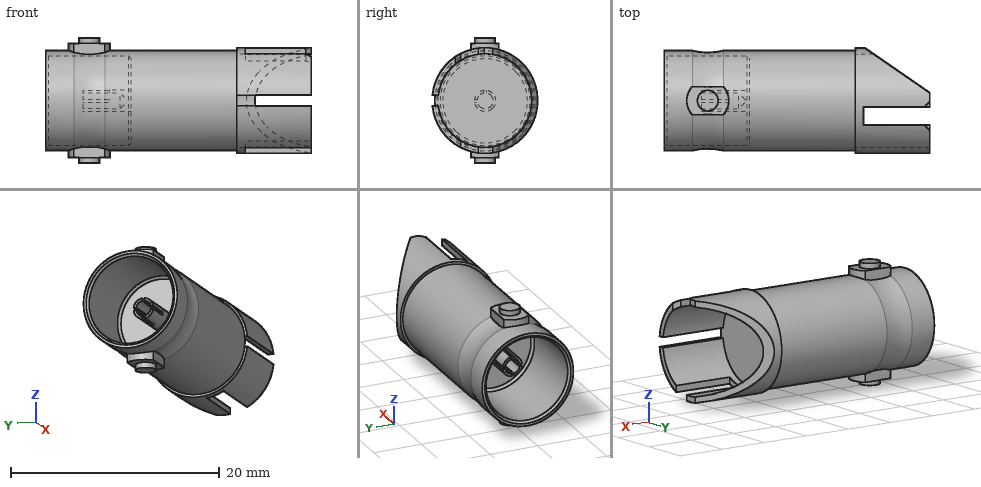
import cadquery as cq

length = 25.5
body_radius = 4.82
collar_radius = 5.07
collar_start = 18.35

lug_x = 4.18
waist_width = 3.0
waist_depth = 0.18

lug_radius = 2.01
lug_width = 2.68
lug_top = 5.48
lug_root = 4.45
pin_radius = 1.0
pin_top = 6.005

bore_radius = 4.3
mouth_radius = 4.55
mouth_chamfer = 0.23
floor_x = 8.15
floor_chamfer = 0.25
rear_bore_radius = 4.5
rear_floor_x = collar_start

contact_start = 3.55
contact_radius = 1.02
contact_hole_radius = 0.76
contact_hole_depth = 3.57
contact_cone_depth = 0.76
contact_slit_width = 0.28
contact_slit_depth = 2.55

wide_slot_start = 19.15
wide_slot_low_y = -2.32
wide_slot_high_y = -0.6
tip_chamfer = 0.54
side_slot_width = 1.02
bevel_start = 19.25
bevel_tip_y = 0.76

clearance = 2.55


def x_cylinder(radius, start, end):
    """Solid cylinder on the X axis."""
    return cq.Workplane("YZ", origin=(start, 0, 0)).circle(radius).extrude(end - start)


def box_between(low, high):
    """Box spanned by two opposite corners."""
    size = [b - a for a, b in zip(low, high)]
    return cq.Workplane("XY").box(*size, centered=False).translate(low)


def make_sleeve():
    """Outer body of revolution, with the concave waist."""
    waist_half = waist_width / 2
    return (
        cq.Workplane("XY")
        .lineTo(0, body_radius)
        .lineTo(lug_x - waist_half, body_radius)
        .threePointArc((lug_x, body_radius - waist_depth), (lug_x + waist_half, body_radius))
        .lineTo(collar_start, body_radius)
        .lineTo(collar_start, collar_radius)
        .lineTo(length, collar_radius)
        .lineTo(length, 0)
        .close()
        .revolve(360, (0, 0, 0), (1, 0, 0))
    )


def make_lug():
    """Upper lug: round base with two flat sides, and its pin."""
    plane = cq.Workplane("XY", origin=(lug_x, 0, lug_root))
    base = plane.circle(lug_radius).extrude(lug_top - lug_root)
    flats = plane.rect(2 * lug_radius, lug_width).extrude(lug_top - lug_root)
    pin = plane.circle(pin_radius).extrude(pin_top - lug_root)
    return base.intersect(flats).union(pin)


def make_front_bore():
    """Blind bore with a chamfered mouth and a chamfered floor edge."""
    return (
        cq.Workplane("XY")
        .lineTo(0, mouth_radius)
        .lineTo(mouth_chamfer, bore_radius)
        .lineTo(floor_x - floor_chamfer, bore_radius)
        .lineTo(floor_x, bore_radius - floor_chamfer)
        .lineTo(floor_x, 0)
        .close()
        .revolve(360, (0, 0, 0), (1, 0, 0))
    )


def make_contact():
    """Hollow centre contact with a conical hole end and crossed slits."""
    hole_end = contact_start + contact_hole_depth
    hole = (
        cq.Workplane("XY")
        .moveTo(contact_start, 0)
        .lineTo(contact_start, contact_hole_radius)
        .lineTo(hole_end, contact_hole_radius)
        .lineTo(hole_end + contact_cone_depth, 0)
        .close()
        .revolve(360, (contact_start, 0, 0), (contact_start + 0.25, 0, 0))
    )
    contact = x_cylinder(contact_radius, contact_start, floor_x).cut(hole)
    slit_plane = cq.Workplane("YZ", origin=(contact_start, 0, 0))
    for angle in (0, 90):
        slit = slit_plane.rect(3 * contact_radius, contact_slit_width).extrude(contact_slit_depth)
        contact = contact.cut(slit.rotate((0, 0, 0), (1, 0, 0), angle))
    return contact


def make_wide_slot():
    """Slot through the top and bottom of the skirt, with the upper tip corners chamfered."""
    far_x = length + clearance
    slot = box_between(
        (wide_slot_start, wide_slot_low_y, -collar_radius),
        (far_x, wide_slot_high_y, collar_radius),
    )
    flare = (
        cq.Workplane("XY")
        .moveTo(length - tip_chamfer, wide_slot_low_y)
        .lineTo(length, wide_slot_low_y - tip_chamfer)
        .lineTo(length, wide_slot_high_y + tip_chamfer)
        .lineTo(length - tip_chamfer, wide_slot_high_y)
        .close()
        .extrude(collar_radius)
    )
    return slot.union(flare)


def make_side_slot():
    """Slot through the -Y wall over the whole length of the skirt."""
    half = side_slot_width / 2
    return box_between((collar_start, -collar_radius, -half), (length + clearance, 0, half))


def make_bevel():
    """Wedge that slopes the +Y side of the skirt down to its tip."""
    return (
        cq.Workplane("XY")
        .moveTo(bevel_start, collar_radius)
        .lineTo(length, bevel_tip_y)
        .lineTo(length, collar_radius)
        .close()
        .extrude(collar_radius, both=True)
    )


upper_lug = make_lug()
lower_lug = upper_lug.mirror("XY")
result = make_sleeve().union(upper_lug).union(lower_lug)
result = result.cut(make_front_bore()).cut(x_cylinder(rear_bore_radius, rear_floor_x, length))
result = result.union(make_contact())
result = result.cut(make_wide_slot()).cut(make_side_slot()).cut(make_bevel())